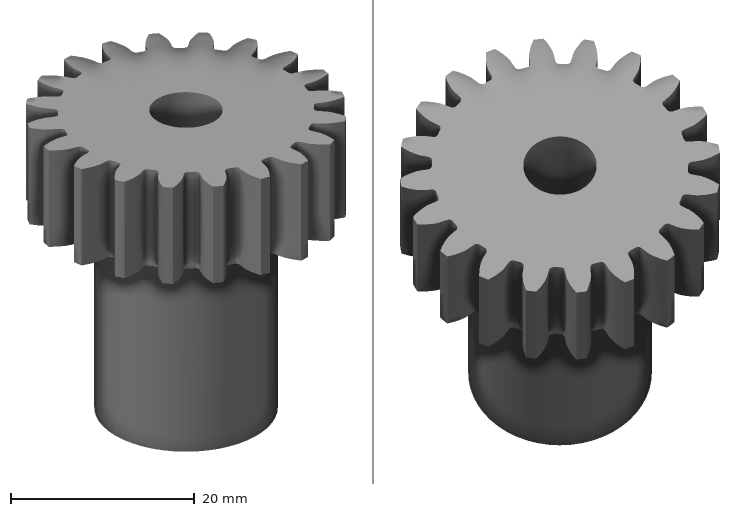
import cadquery as cq
import math

total_height = 37.0
gear_height = 12.0
hub_diameter = 20.0
bore_diameter = 8.0

tooth_count = 20
pressure_angle = math.radians(20)
pitch_radius = 16.0
tip_radius = 17.5
root_radius = 13.95
backlash = 0.07
root_gap_half_width = 0.7
root_fillet = 0.48
flank_steps = 6
cutter_overrun = 0.37

hub_height = total_height - gear_height
base_radius = pitch_radius * math.cos(pressure_angle)
tooth_pitch = 2 * math.pi / tooth_count
pitch_gap_half_angle = tooth_pitch / 4 + backlash / 2 / pitch_radius


def involute(angle):
    return math.tan(angle) - angle


def polar(radius, angle):
    return radius * math.cos(angle), radius * math.sin(angle)


def gap_half_angle(radius):
    """Half the angle of the gap between two teeth, on the involute flank."""
    roll = math.acos(base_radius / radius)
    return pitch_gap_half_angle + involute(roll) - involute(pressure_angle)


def tooth_gap():
    """Cutter for the gap centred on the +X axis, standing on top of the hub.

    Each flank is an involute down to the base circle and runs on smoothly to the root circle.
    """
    radial_step = (tip_radius - base_radius) / flank_steps
    radii = [base_radius + i * radial_step for i in range(flank_steps + 1)]
    root_half_angle = math.asin(root_gap_half_width / root_radius)
    root_corner = polar(root_radius, root_half_angle)
    upper_flank = [root_corner] + [polar(r, gap_half_angle(r)) for r in radii]
    lower_flank = [(x, -y) for x, y in reversed(upper_flank)]
    outer_radius = tip_radius + cutter_overrun

    gap = (
        cq.Workplane("XY")
        .workplane(offset=hub_height)
        .moveTo(*root_corner)
        .spline(upper_flank[1:], includeCurrent=True)
        .lineTo(*polar(outer_radius, gap_half_angle(tip_radius)))
        .lineTo(*polar(outer_radius, -gap_half_angle(tip_radius)))
        .lineTo(*lower_flank[0])
        .spline(lower_flank[1:], includeCurrent=True)
        .threePointArc((root_radius, 0), root_corner)
        .close()
        .extrude(gear_height)
    )
    inside_root = cq.selectors.BoxSelector(
        (0, -pitch_radius, hub_height),
        ((root_radius + base_radius) / 2, pitch_radius, total_height),
    )
    return gap.edges("|Z").edges(inside_root).fillet(root_fillet)


def gear():
    blank = cq.Workplane("XY").workplane(offset=hub_height).circle(tip_radius).extrude(gear_height)
    gap = tooth_gap()
    for i in range(tooth_count):
        turn = math.degrees(i * tooth_pitch)
        blank = blank.cut(gap.rotate((0, 0, 0), (0, 0, 1), turn))
    return blank


hub = cq.Workplane("XY").circle(hub_diameter / 2).extrude(hub_height)
bore = cq.Workplane("XY").circle(bore_diameter / 2).extrude(total_height)
result = gear().union(hub).cut(bore)